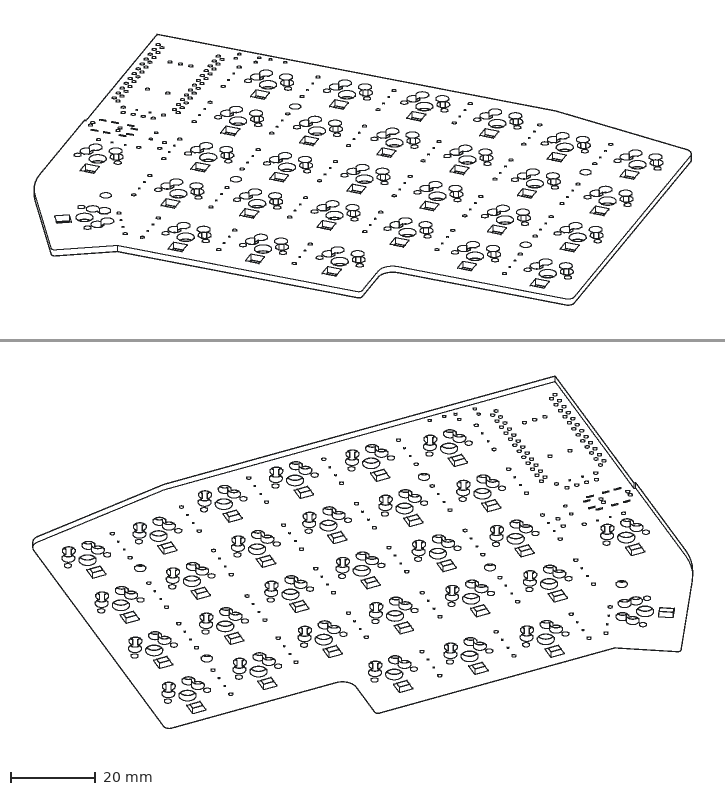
import cadquery as cq
import math

LENGTH = 139.0
HEIGHT = 106.7
THICKNESS = 1.7
KEY_PITCH = 19.0
GRID = KEY_PITCH / 15
PIN_PITCH = 2 * GRID
KEY_ROWS = 4

LEFT_STEP = 0.4
LEFT_STEP_Y = 61.5
LEFT_ARC_RADIUS = 19.0
THUMB_TURN = 30.0
TIP_X = 16.3
BOTTOM_Y = 7.5
NOTCH_X = 91.5
NOTCH_Y = 22.4
NOTCH_RADIUS = 3.6
SLOPE_START_X = 101.5
SLOPE_END_Y = 100.3
TOP_RIGHT_RADIUS = 2.6
LOWER_RIGHT_RADIUS = 1.5
SMALL_RADIUS = 0.8

CENTER_DIAMETER = 4.0
PEG_DIAMETER = 1.7
PEG_X = 4 * GRID
SOCKET_DIAMETER = 3.0
UPPER_SOCKET = (2 * GRID, 4 * GRID)
LOWER_SOCKET = (3 * GRID, 2 * GRID)
LED_WIDTH = 3.5
LED_DROP = 4 * GRID
FIRST_COLUMN_X = 33.8
COLUMN_BOTTOM_YS = [36.3, 38.7, 40.0, 38.7, 33.8, 32.3]
SINGLE_KEYS = [
    (9.9, 45.0, 0),
    (43.2, 17.2, 0),
    (62.3, 18.6, 0),
    (81.4, 19.6, 0),
    (17.5, 17.4, -60),
]

DIODE_LEAD_DIAMETER = 1.0
DIODE_LEAD_SPACING = 8 * GRID
DIODE_VIA_DIAMETER = 0.4
DIODE_VIA_SPACING = 3.3
DIODE_COLUMN_YS = [
    [93.9, 75.4, 56.0, 37.0],
    [96.2, 76.9, 58.1, 38.2],
    [96.8, 78.0, 59.5, 40.5],
    [97.5, 77.6, 59.2, 40.5],
    [93.9, 75.5, 56.3, 38.5],
    [91.2, 70.4, 53.3, 33.7],
]
SINGLE_DIODES = [
    (33.8, 18.5, 0),
    (52.7, 19.6, 0),
    (71.8, 19.9, 0),
    (26.8, 18.0, 30),
    (11.3, 70.6, 90),
    (11.7, 53.8, 90),
]

CONTROLLER_PINS = 12
CONTROLLER_TOP_Y = 102.1
CONTROLLER_FIRST_X = 2.5
CONTROLLER_ROW_SPACING = 12 * GRID
CONTROLLER_PIN_DIAMETER = 1.0
MIRROR_SHIFT_X = 1.4
MIRROR_SHIFT_Y = 1.1

MOUNT_DIAMETER = 2.6
MOUNT_POINTS = [(43.7, 86.0), (119.0, 81.5), (43.8, 47.8), (119.0, 43.4), (18.2, 29.2)]
PAD_DIAMETER = 1.0
PAD_POINTS = [
    (8.2, 95.3),
    (10.8, 95.3),
    (13.5, 95.3),
    (8.2, 81.0),
    (13.3, 81.0),
    (21.5, 58.3),
    (21.5, 55.2),
]
HEADER_PINS = 4
HEADER_X = 7.1
HEADER_Y = 68.3
SMALL_PAD_DIAMETER = 0.8
SMALL_PAD_POINTS = [
    (29.8, 105.1),
    (33.5, 105.1),
    (22.0, 104.9),
    (27.0, 104.9),
    (22.0, 102.6),
    (27.0, 102.6),
    (18.0, 62.0),
    (18.0, 58.7),
]

JACK_Y = 60.4
JACK_PEG_DIAMETER = 1.0
JACK_PEG_XS = [2.2, 9.2]
JACK_PEG_SPACING = 1.4
JACK_SLOT_WIDTH = 0.4
JACK_SLOT_LENGTH = 1.7
JACK_SLOT_XS = [4.0, 7.1, 11.1]
JACK_SLOT_SPACING = 5.3
JACK_END_SLOT_X = 12.5
JACK_END_SLOT_SPACING = 2.8


def plate():
    tan_turn = math.tan(math.radians(THUMB_TURN))
    tip_y = -SMALL_RADIUS * (math.sqrt(2) * math.sin(math.radians(45 + THUMB_TURN)) - 1)
    left_corner_y = tip_y + TIP_X / tan_turn
    tangent = LEFT_ARC_RADIUS * math.tan(math.radians(THUMB_TURN / 2))
    arc_start_y = left_corner_y + tangent

    def left_arc_point(angle):
        a = math.radians(angle)
        return LEFT_ARC_RADIUS * (1 - math.cos(a)), arc_start_y - LEFT_ARC_RADIUS * math.sin(a)

    body = (
        cq.Workplane("XY")
        .moveTo(LEFT_STEP, HEIGHT)
        .lineTo(LEFT_STEP, LEFT_STEP_Y)
        .lineTo(0, LEFT_STEP_Y)
        .lineTo(0, arc_start_y)
        .threePointArc(left_arc_point(THUMB_TURN / 2), left_arc_point(THUMB_TURN))
        .lineTo(TIP_X, tip_y)
        .lineTo(TIP_X + (BOTTOM_Y - tip_y) / tan_turn, BOTTOM_Y)
        .lineTo(NOTCH_X, BOTTOM_Y)
        .lineTo(NOTCH_X, NOTCH_Y)
        .lineTo(LENGTH, NOTCH_Y)
        .lineTo(LENGTH, SLOPE_END_Y)
        .lineTo(SLOPE_START_X, HEIGHT)
        .close()
        .extrude(THICKNESS)
    )

    def rounded(solid, x, y, radius):
        corner = cq.selectors.NearestToPointSelector((x, y, THICKNESS / 2))
        return solid.edges("|Z").edges(corner).fillet(radius)

    body = rounded(body, TIP_X, tip_y, SMALL_RADIUS)
    body = rounded(body, NOTCH_X, BOTTOM_Y, SMALL_RADIUS)
    body = rounded(body, NOTCH_X, NOTCH_Y, NOTCH_RADIUS)
    body = rounded(body, LENGTH, NOTCH_Y, LOWER_RIGHT_RADIUS)
    return rounded(body, LENGTH, SLOPE_END_Y, TOP_RIGHT_RADIUS)


def drills(points, diameter):
    return cq.Workplane("XY").pushPoints(points).circle(diameter / 2).extrude(THICKNESS)


def key_places():
    places = list(SINGLE_KEYS)
    for column, bottom_y in enumerate(COLUMN_BOTTOM_YS):
        x = FIRST_COLUMN_X + column * KEY_PITCH
        for row in range(KEY_ROWS):
            places.append((x, bottom_y + row * KEY_PITCH, 0))
    return places


def switch_cut(x, y, angle):
    """Centre hole, side pegs, overlapping socket holes and LED window of one switch."""
    cut = drills([(0, 0)], CENTER_DIAMETER)
    cut = cut.union(drills([(-PEG_X, 0), (PEG_X, 0)], PEG_DIAMETER))
    for socket_x, socket_y in (UPPER_SOCKET, LOWER_SOCKET):
        cut = cut.union(drills([(-socket_x, socket_y), (socket_x, socket_y)], SOCKET_DIAMETER))
    led = cq.Workplane("XY").center(0, -LED_DROP).rect(LED_WIDTH, LED_WIDTH).extrude(THICKNESS)
    return cut.union(led).rotate((0, 0, 0), (0, 0, 1), angle).translate((x, y, 0))


def diode_places():
    places = list(SINGLE_DIODES)
    for column, ys in enumerate(DIODE_COLUMN_YS):
        x = FIRST_COLUMN_X + (column - 0.5) * KEY_PITCH
        places += [(x, y, 0) for y in ys]
    return places


def diode_drills():
    leads = []
    vias = []
    for x, y, angle in diode_places():
        a = math.radians(angle)
        for spacing, points in ((DIODE_LEAD_SPACING, leads), (DIODE_VIA_SPACING, vias)):
            for reach in (-spacing / 2, spacing / 2):
                points.append((x - reach * math.sin(a), y + reach * math.cos(a)))
    return [drills(leads, DIODE_LEAD_DIAMETER), drills(vias, DIODE_VIA_DIAMETER)]


def controller_points():
    points = []
    for pin_row in range(2):
        x = CONTROLLER_FIRST_X + pin_row * CONTROLLER_ROW_SPACING
        for pin in range(CONTROLLER_PINS):
            y = CONTROLLER_TOP_Y - pin * PIN_PITCH
            points.append((x, y))
            points.append((x + MIRROR_SHIFT_X, y - MIRROR_SHIFT_Y))
    return points


def header_points():
    return [(HEADER_X + pin * PIN_PITCH, HEADER_Y) for pin in range(HEADER_PINS)]


def jack_cuts():
    pegs = []
    slots = []
    for side in (-1, 1):
        pegs += [(x, JACK_Y + side * JACK_PEG_SPACING / 2) for x in JACK_PEG_XS]
        slots += [(x, JACK_Y + side * JACK_SLOT_SPACING / 2) for x in JACK_SLOT_XS]
        slots.append((JACK_END_SLOT_X, JACK_Y + side * JACK_END_SLOT_SPACING / 2))
    slot_plan = cq.Workplane("XY").pushPoints(slots).slot2D(JACK_SLOT_LENGTH, JACK_SLOT_WIDTH)
    slot_cut = slot_plan.extrude(THICKNESS)
    return [drills(pegs, JACK_PEG_DIAMETER), slot_cut]


cuts = [switch_cut(*place) for place in key_places()]
cuts += diode_drills()
cuts += jack_cuts()
cuts.append(drills(controller_points(), CONTROLLER_PIN_DIAMETER))
cuts.append(drills(header_points() + PAD_POINTS, PAD_DIAMETER))
cuts.append(drills(SMALL_PAD_POINTS, SMALL_PAD_DIAMETER))
cuts.append(drills(MOUNT_POINTS, MOUNT_DIAMETER))

tools = [solid for cut in cuts for solid in cut.vals()]
result = cq.Workplane("XY").newObject([plate().val().cut(*tools)])